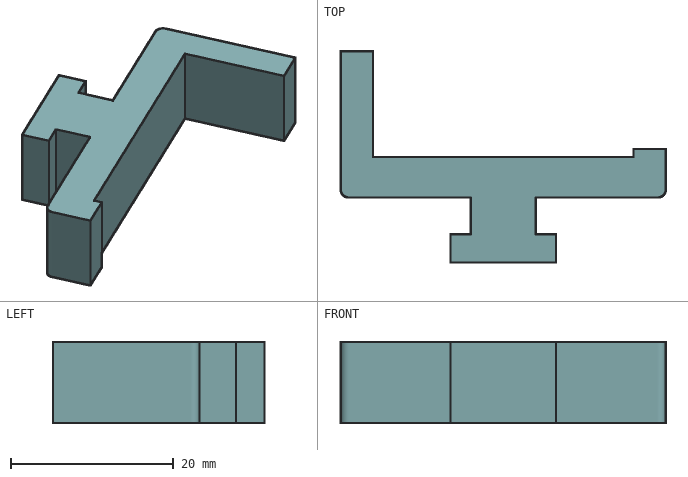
import cadquery as cq

length = 40.0
depth = 26.0
height = 10.0

plate_thickness = 5.0
arm_thickness = 4.0
lip_width = 4.0
lip_rise = 1.0
corner_radius = 1.0

foot_depth = 8.0
neck_width = 8.0
head_width = 13.0
head_thickness = 3.5

arm_depth = depth - foot_depth


def block(x_start, y_start, size_x, size_y):
    """Full-height block with its lower left corner at (x_start, y_start)."""
    return cq.Workplane("XY").box(size_x, size_y, height, centered=False).translate((x_start, y_start, 0))


def make_bracket():
    """Plate, arm and lip, with the two outer -Y corners rounded."""
    plate = block(0, 0, length, plate_thickness)
    arm = block(0, 0, arm_thickness, arm_depth)
    lip = block(length - lip_width, 0, lip_width, plate_thickness + lip_rise)
    bracket = plate.union(arm).union(lip).clean()
    return bracket.faces("<Y").edges("|Z").fillet(corner_radius)


def make_foot():
    """Narrow neck ending in a wider head."""
    middle = length / 2
    neck = block(middle - neck_width / 2, -foot_depth, neck_width, foot_depth)
    head = block(middle - head_width / 2, -foot_depth, head_width, head_thickness)
    return neck.union(head)


result = make_bracket().union(make_foot()).clean()